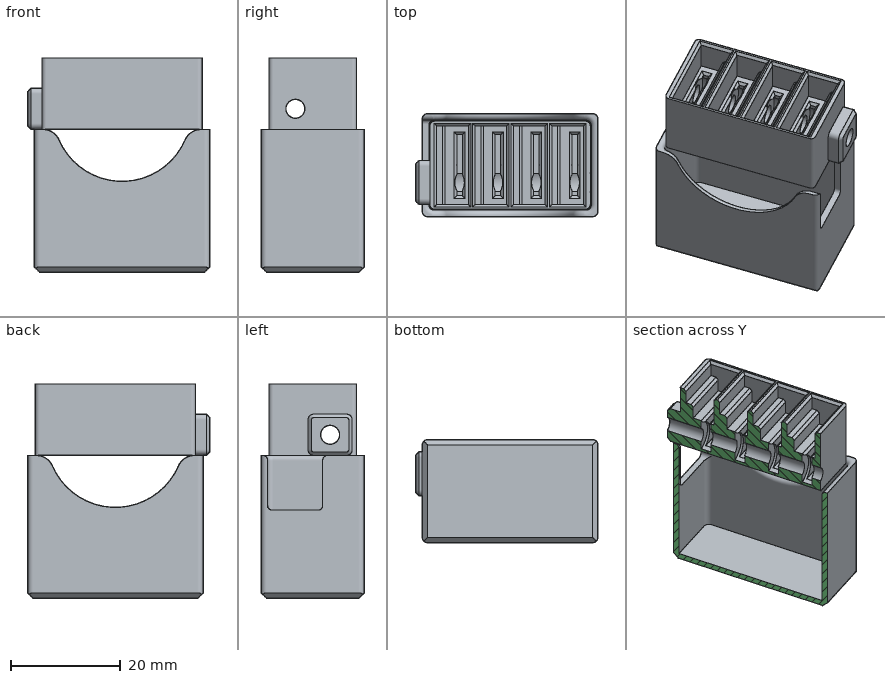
import cadquery as cq
import math

SLEEVE_LENGTH = 31.98
SLEEVE_WIDTH = 18.8
SLEEVE_HEIGHT = 26.0
WALL = 1.2
FLOOR = 1.2
EDGE_RADIUS = 1.0
BASE_CHAMFER = 1.0
RIM_RADIUS = 0.95

SCALLOP_RADIUS = 12.48
SCALLOP_DEPTH = 9.45
SCALLOP_BLEND_RADIUS = 3.2

NOTCH_WIDTH = 10.0
NOTCH_DEPTH = 9.95
NOTCH_RADIUS = 0.78
NOTCH_REACH = 5.07

INSERT_CLEARANCE = 0.2
INSERT_LENGTH = SLEEVE_LENGTH - 2 * (WALL + INSERT_CLEARANCE)
INSERT_WIDTH = SLEEVE_WIDTH - 2 * (WALL + INSERT_CLEARANCE)
INSERT_BOTTOM = SLEEVE_HEIGHT
INSERT_TOP = 39.0
INSERT_HEIGHT = INSERT_TOP - INSERT_BOTTOM
INSERT_EDGE_RADIUS = 0.8

POCKET_COUNT = 4
POCKET_PITCH = 7.0
POCKET_LENGTH = 5.75
POCKET_WIDTH = 14.27
POCKET_DEPTH = 5.93
POCKET_BEVEL = 0.45
LEDGE_DEPTH = 3.0
LEDGE_WIDTH = 1.05
SLOT_LENGTH = 1.0
SLOT_WIDTH = 11.1
SLOT_DEPTH = 6.05
BORE_DIAMETER = 6.4
SLOT_OFFSET = 1.3

TAB_OVERHANG = 1.2
TAB_WIDTH = 8.05
TAB_HEIGHT = 7.5
TAB_Y = -INSERT_WIDTH / 2 + INSERT_EDGE_RADIUS + TAB_WIDTH / 2
TAB_Z = INSERT_BOTTOM + TAB_HEIGHT / 2
TAB_CHAMFER = 0.62
HOLE_DIAMETER = 3.4

OVERCUT = 0.4


def bevelled_recess(length, width, depth, bevel, center_x, top_z):
    """Rectangular recess below top_z whose mouth widens by the bevel on every side."""
    shaft = (
        cq.Workplane("XY", origin=(center_x, 0, top_z - depth))
        .rect(length, width)
        .extrude(depth)
    )
    mouth = (
        cq.Workplane("XY", origin=(center_x, 0, top_z - bevel))
        .rect(length, width)
        .workplane(offset=bevel)
        .rect(length + 2 * bevel, width + 2 * bevel)
        .loft(ruled=True)
    )
    return shaft.union(mouth)


def scallop_cutter():
    """Circular dip whose upper ends blend into the rim with tangent arcs."""
    center_z = SLEEVE_HEIGHT - SCALLOP_DEPTH + SCALLOP_RADIUS
    blend_z = SLEEVE_HEIGHT - SCALLOP_BLEND_RADIUS
    center_distance = SCALLOP_RADIUS + SCALLOP_BLEND_RADIUS
    blend_x = math.sqrt(center_distance**2 - (center_z - blend_z) ** 2)
    share = SCALLOP_RADIUS / center_distance
    join_x = blend_x * share
    join_z = center_z + (blend_z - center_z) * share
    start_angle = math.atan2(center_z - blend_z, -blend_x)
    middle_angle = (start_angle + math.pi / 2) / 2
    middle_x = blend_x + SCALLOP_BLEND_RADIUS * math.cos(middle_angle)
    middle_z = blend_z + SCALLOP_BLEND_RADIUS * math.sin(middle_angle)
    return (
        cq.Workplane("XZ")
        .moveTo(-blend_x, SLEEVE_HEIGHT)
        .threePointArc((-middle_x, middle_z), (-join_x, join_z))
        .threePointArc((0, center_z - SCALLOP_RADIUS), (join_x, join_z))
        .threePointArc((middle_x, middle_z), (blend_x, SLEEVE_HEIGHT))
        .close()
        .extrude(SLEEVE_WIDTH / 2 + OVERCUT, both=True)
    )


def notch_cutter():
    """Notch beside the back wall, round at its bottom corners and flared at the rim."""
    back = SLEEVE_WIDTH / 2 - WALL
    front = back - NOTCH_WIDTH
    bottom = SLEEVE_HEIGHT - NOTCH_DEPTH
    start_x = -SLEEVE_LENGTH / 2 - OVERCUT
    body = (
        cq.Workplane("XY")
        .box(NOTCH_REACH + OVERCUT, NOTCH_WIDTH, NOTCH_DEPTH, centered=False)
        .edges("|X and <Z")
        .fillet(NOTCH_RADIUS)
        .translate((start_x, front, bottom))
    )
    flare_z = SLEEVE_HEIGHT - RIM_RADIUS
    bulge = RIM_RADIUS * (1 - math.sqrt(0.5))
    flare = (
        cq.Workplane("YZ", origin=(start_x, 0, 0))
        .moveTo(front, flare_z)
        .threePointArc((front - bulge, SLEEVE_HEIGHT - bulge), (front - RIM_RADIUS, SLEEVE_HEIGHT))
        .lineTo(back + RIM_RADIUS, SLEEVE_HEIGHT)
        .threePointArc((back + bulge, SLEEVE_HEIGHT - bulge), (back, flare_z))
        .close()
        .extrude(OVERCUT + WALL + EDGE_RADIUS)
    )
    return body.union(flare)


def make_sleeve():
    block = (
        cq.Workplane("XY")
        .box(SLEEVE_LENGTH, SLEEVE_WIDTH, SLEEVE_HEIGHT, centered=(True, True, False))
        .edges("|Z")
        .fillet(EDGE_RADIUS)
    )
    chamfered = (
        cq.Workplane("XY")
        .box(SLEEVE_LENGTH, SLEEVE_WIDTH, SLEEVE_HEIGHT, centered=(True, True, False))
        .faces("<Z")
        .chamfer(BASE_CHAMFER)
    )
    cavity = (
        cq.Workplane("XY", origin=(0, 0, FLOOR))
        .rect(SLEEVE_LENGTH - 2 * WALL, SLEEVE_WIDTH - 2 * WALL)
        .extrude(SLEEVE_HEIGHT)
        .edges("|Z")
        .fillet(EDGE_RADIUS)
    )
    sleeve = block.intersect(chamfered).cut(cavity).cut(scallop_cutter())
    box_x = SLEEVE_LENGTH / 2 - WALL / 2
    box_y = SLEEVE_WIDTH / 2 - WALL / 2
    rim = cq.selectors.BoxSelector(
        (-box_x, -box_y, FLOOR + OVERCUT),
        (box_x, box_y, SLEEVE_HEIGHT + OVERCUT),
        boundingbox=True,
    )
    return sleeve.edges(rim).fillet(RIM_RADIUS).cut(notch_cutter())


def make_pocket(center_x):
    upper = bevelled_recess(POCKET_LENGTH, POCKET_WIDTH, LEDGE_DEPTH, POCKET_BEVEL, center_x, INSERT_TOP)
    left = center_x - POCKET_LENGTH / 2
    right = center_x + POCKET_LENGTH / 2
    ledge_z = INSERT_TOP - LEDGE_DEPTH
    floor_z = INSERT_TOP - POCKET_DEPTH
    lower = (
        cq.Workplane("XZ")
        .moveTo(left + LEDGE_WIDTH, ledge_z)
        .lineTo(left + LEDGE_WIDTH + POCKET_BEVEL, ledge_z - POCKET_BEVEL)
        .lineTo(left + LEDGE_WIDTH + POCKET_BEVEL, floor_z)
        .lineTo(right, floor_z)
        .lineTo(right, ledge_z)
        .close()
        .extrude(POCKET_WIDTH / 2, both=True)
    )
    slot_x = center_x + SLOT_OFFSET
    slot = bevelled_recess(SLOT_LENGTH, SLOT_WIDTH, SLOT_DEPTH, POCKET_BEVEL, slot_x, floor_z)
    bore_length = SLOT_LENGTH + 2 * POCKET_BEVEL
    bore = (
        cq.Workplane("YZ", origin=(slot_x - bore_length / 2, TAB_Y, TAB_Z))
        .circle(BORE_DIAMETER / 2)
        .extrude(bore_length)
    )
    return upper.union(lower).union(slot).union(bore)


def make_insert():
    insert = (
        cq.Workplane("XY", origin=(0, 0, INSERT_BOTTOM))
        .box(INSERT_LENGTH, INSERT_WIDTH, INSERT_HEIGHT, centered=(True, True, False))
        .edges("|Z")
        .fillet(INSERT_EDGE_RADIUS)
    )
    tab_thickness = TAB_OVERHANG + WALL + INSERT_CLEARANCE
    tab = (
        cq.Workplane("YZ", origin=(-INSERT_LENGTH / 2, TAB_Y, TAB_Z))
        .rect(TAB_WIDTH, TAB_HEIGHT)
        .extrude(-tab_thickness)
        .edges("|X")
        .fillet(EDGE_RADIUS)
        .faces("<X")
        .chamfer(TAB_CHAMFER)
    )
    insert = insert.union(tab)
    for index in range(POCKET_COUNT):
        center_x = (index - (POCKET_COUNT - 1) / 2) * POCKET_PITCH
        insert = insert.cut(make_pocket(center_x))
    hole = (
        cq.Workplane("YZ", origin=(0, TAB_Y, TAB_Z))
        .circle(HOLE_DIAMETER / 2)
        .extrude(SLEEVE_LENGTH, both=True)
    )
    return insert.cut(hole)


sleeve = make_sleeve()
insert = make_insert()
result = cq.Compound.makeCompound([sleeve.val(), insert.val()])